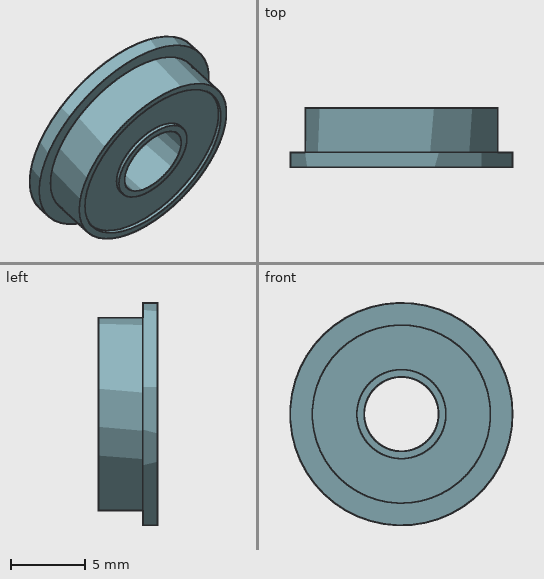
import cadquery as cq

flange_diameter = 15.0
body_diameter = 13.0
bore_diameter = 5.0
inner_ring_diameter = 6.0
recess_diameter = 12.0
total_width = 4.0
flange_width = 1.0
recess_depth = 0.25


def cylinder(diameter, start, length):
    """Cylinder along +Y whose first face lies at Y = start."""
    plane = cq.Plane(origin=(0, start, 0), xDir=(1, 0, 0), normal=(0, 1, 0))
    return cq.Workplane(plane).circle(diameter / 2).extrude(length)


def shield_recess(start):
    """Ring-shaped pocket between the inner and outer bearing rings."""
    outer = cylinder(recess_diameter, start, recess_depth)
    inner = cylinder(inner_ring_diameter, start, recess_depth)
    return outer.cut(inner)


body = cylinder(body_diameter, 0, total_width)
body = body.union(cylinder(flange_diameter, 0, flange_width))

body = body.cut(cylinder(bore_diameter, 0, total_width))

for recess_start in (0, total_width - recess_depth):
    body = body.cut(shield_recess(recess_start))

result = body